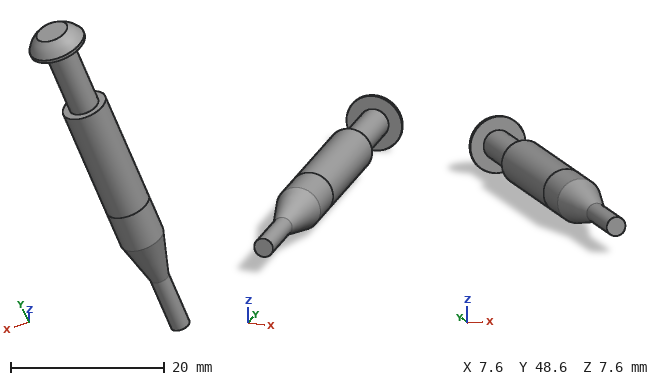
import cadquery as cq
import math

total_length = 48.6
head_height = 2.25
rim_thickness = 0.45
shank_length = 9.95
sleeve_length = 16.4
collar_length = 5.45
taper_length = 6.6

head_diameter = 7.6
head_flat_diameter = 4.3
shank_diameter = 4.0
barrel_diameter = 6.0
needle_diameter = 2.6

dome_bulge = 0.2

head_top = total_length / 2
head_underside = head_top - head_height
rim_top = head_underside + rim_thickness
sleeve_start = head_underside - shank_length
joint = sleeve_start - sleeve_length
taper_start = joint - collar_length
needle_start = taper_start - taper_length
needle_end = head_top - total_length

head_radius = head_diameter / 2
head_flat_radius = head_flat_diameter / 2
shank_radius = shank_diameter / 2
barrel_radius = barrel_diameter / 2
needle_radius = needle_diameter / 2


def dome_midpoint():
    """Middle of the head flank arc, offset outward from its chord."""
    radial_run = head_radius - head_flat_radius
    axial_run = head_top - rim_top
    chord = math.hypot(radial_run, axial_run)
    radius = (head_radius + head_flat_radius) / 2 + dome_bulge * axial_run / chord
    station = (head_top + rim_top) / 2 + dome_bulge * radial_run / chord
    return (radius, station)


def revolve_about_y(profile):
    """Turn a closed half-profile into a solid about the Y axis."""
    return profile.close().revolve(360, (0, 0, 0), (0, 1, 0))


def make_handle():
    """Button head, shank and sleeve, ending flat at the joint."""
    profile = (
        cq.Workplane("XY")
        .moveTo(0, head_top)
        .lineTo(head_flat_radius, head_top)
        .threePointArc(dome_midpoint(), (head_radius, rim_top))
        .lineTo(head_radius, head_underside)
        .lineTo(shank_radius, head_underside)
        .lineTo(shank_radius, sleeve_start)
        .lineTo(barrel_radius, sleeve_start)
        .lineTo(barrel_radius, joint)
        .lineTo(0, joint)
    )
    return revolve_about_y(profile)


def make_nozzle():
    """Collar flush with the sleeve, tapering down to a plain needle."""
    profile = (
        cq.Workplane("XY")
        .moveTo(0, joint)
        .lineTo(barrel_radius, joint)
        .lineTo(barrel_radius, taper_start)
        .lineTo(needle_radius, needle_start)
        .lineTo(needle_radius, needle_end)
        .lineTo(0, needle_end)
    )
    return revolve_about_y(profile)


handle = make_handle()
nozzle = make_nozzle()

result = cq.Compound.makeCompound([handle.val(), nozzle.val()])